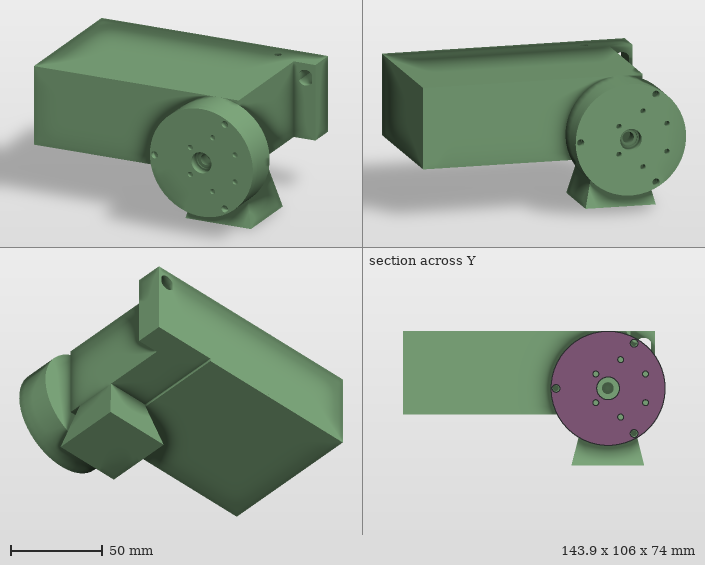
import cadquery as cq
import math


hub_diameter = 62.9
hub_radius = hub_diameter / 2
hub_length = 16.0
cover_thickness = 5.0
cover_front_y = -(hub_length + cover_thickness)

cover_bore_diameter = 12.2
seat_diameter = 10.1
seat_depth = 0.7
center_hole_diameter = 6.5
center_hole_depth = 8.6

journal_diameter = 6.5
journal_length = 74.5
rear_shaft_diameter = 8.6

tapped_count = 6
tapped_first_angle = 30
tapped_diameter = 3.0
tapped_circle_diameter = 31.5
tapped_circle_x = 6.9

screw_count = 3
screw_circle_diameter = 57.1
screw_first_angle = 60
screw_clearance_diameter = 4.0
screw_thread_diameter = 3.3
screw_thread_depth = 8.6

overall_length = 143.9
body_depth = 85.0
body_height = 44.2
body_top_z = hub_radius
body_bottom_z = body_top_z - body_height
housing_left_x = hub_radius - overall_length
gearbox_width = 25.0
gearbox_half = gearbox_width / 2
plate_thickness = 1.7

flange_right_x = 25.8
flange_thickness = 16.0
opening_diameter = 9.2
opening_flat_width = 8.0
opening_x = 19.7
opening_z = 23.0

top_hole_diameter = 4.0
top_hole_from_back = 10.0

overall_height = 74.0
foot_bottom_width = 40.0
foot_height = overall_height - body_height
foot_center_y = foot_bottom_width / 2
foot_flare = (foot_bottom_width - gearbox_width) / 2 / foot_height


def box_between(x0, x1, y0, y1, z0, z1):
    """Box between two limits along each axis."""
    return cq.Workplane("XY").box(x1 - x0, y1 - y0, z1 - z0, centered=False).translate((x0, y0, z0))


def y_cylinder(diameter, start_y, length, x=0, z=0):
    """Cylinder along +Y that starts at start_y."""
    center = cq.Vector(x, start_y, z)
    return cq.Workplane(cq.Solid.makeCylinder(diameter / 2, length, center, cq.Vector(0, 1, 0)))


def circle_points(count, circle_diameter, first_angle, center_x=0):
    """X, Z positions spread evenly on a circle."""
    angles = [math.radians(first_angle + i * 360 / count) for i in range(count)]
    radius = circle_diameter / 2
    return [(center_x + radius * math.cos(a), radius * math.sin(a)) for a in angles]


screw_points = circle_points(screw_count, screw_circle_diameter, screw_first_angle)
tapped_points = circle_points(tapped_count, tapped_circle_diameter, tapped_first_angle, tapped_circle_x)


def make_shaft():
    """Stepped shaft through the gearbox; it also shapes the bore it runs in."""
    journal = y_cylinder(journal_diameter, 0, journal_length)
    return journal.union(y_cylinder(rear_shaft_diameter, journal_length, body_depth - journal_length))


def make_cover():
    """Disk on the front of the hub with its bore, tapped holes and screw holes."""
    cover = y_cylinder(hub_diameter, cover_front_y, cover_thickness)
    cover = cover.cut(y_cylinder(cover_bore_diameter, cover_front_y, cover_thickness))
    for x, z in tapped_points:
        cover = cover.cut(y_cylinder(tapped_diameter, cover_front_y, cover_thickness, x, z))
    for x, z in screw_points:
        cover = cover.cut(y_cylinder(screw_clearance_diameter, cover_front_y, cover_thickness, x, z))
    return cover


def make_hub():
    """Round hub with its shaft, stepped center hole and threaded screw holes."""
    hub = y_cylinder(hub_diameter, -hub_length, hub_length).union(make_shaft())
    hub = hub.cut(y_cylinder(seat_diameter, -hub_length, seat_depth))
    hub = hub.cut(y_cylinder(center_hole_diameter, -hub_length, center_hole_depth))
    for x, z in screw_points:
        hub = hub.cut(y_cylinder(screw_thread_diameter, -hub_length, screw_thread_depth, x, z))
    return hub


def make_foot():
    """Square frustum that widens downward from the gearbox width."""
    return (
        cq.Workplane("XY", origin=(0, foot_center_y, body_bottom_z))
        .rect(gearbox_width, gearbox_width)
        .workplane(offset=-foot_height)
        .rect(foot_bottom_width, foot_bottom_width)
        .loft(ruled=True)
    )


def make_flange_opening():
    """Round opening through the flange with a flat on either side."""
    flange_front_y = body_depth - flange_thickness
    bore = y_cylinder(opening_diameter, flange_front_y, flange_thickness, opening_x, opening_z)
    flats = box_between(
        opening_x - opening_flat_width / 2,
        opening_x + opening_flat_width / 2,
        flange_front_y,
        body_depth,
        opening_z - opening_diameter,
        opening_z + opening_diameter,
    )
    return bore.intersect(flats)


def make_gearbox():
    """Gearbox block with its rear flange, foot, shaft bore and top hole."""
    block = box_between(-gearbox_half, gearbox_half, 0, body_depth, body_bottom_z, body_top_z)
    flange = box_between(
        gearbox_half, flange_right_x, body_depth - flange_thickness, body_depth, body_bottom_z, body_top_z
    )
    top_hole = (
        cq.Workplane("XY", origin=(0, body_depth - top_hole_from_back, body_top_z))
        .circle(top_hole_diameter / 2)
        .extrude(-body_top_z)
    )
    gearbox = block.union(flange).union(make_foot())
    return gearbox.cut(make_flange_opening()).cut(make_shaft()).cut(top_hole)


def make_housing():
    """Plain motor housing block beside the gearbox."""
    return box_between(housing_left_x, -gearbox_half, 0, body_depth, body_bottom_z, body_top_z)


def make_bottom_plate():
    """Plate under the housing that stops where it meets the flaring foot."""
    right_x = -(gearbox_half + foot_flare * plate_thickness)
    return box_between(housing_left_x, right_x, 0, body_depth, body_bottom_z - plate_thickness, body_bottom_z)


cover = make_cover()
hub = make_hub()
gearbox = make_gearbox()
housing = make_housing()
bottom_plate = make_bottom_plate()

result = cq.Compound.makeCompound(
    [cover.val(), hub.val(), gearbox.val(), housing.val(), bottom_plate.val()]
)